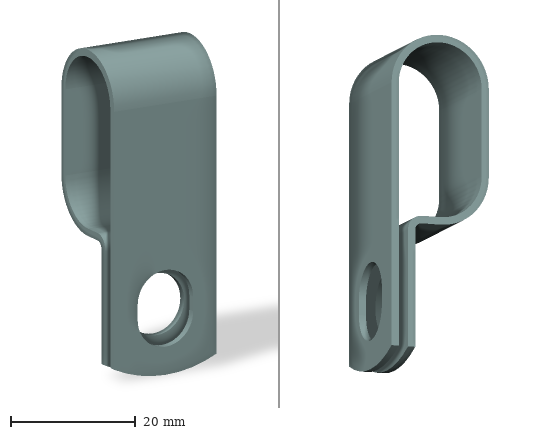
import cadquery as cq

height = 53.55
loop_width = 16.7
strip_width = 19.05
thickness = 1.25
leg_gap = 1.6
upper_arc_to_lower_arc = 14.35
bend_inner_radius = 1.1
hole_diameter = 10.35
hole_height = 11.1
slot_length = 12.8
tip_rise = 2.2

outer_radius = loop_width / 2
inner_radius = outer_radius - thickness
upper_center_z = height - outer_radius
lower_center_z = upper_center_z - upper_arc_to_lower_arc
shelf_bottom_z = lower_center_z - outer_radius
shelf_top_z = shelf_bottom_z + thickness

short_leg_right = inner_radius - leg_gap
gap_middle_x = short_leg_right + leg_gap / 2
short_leg_left = short_leg_right - thickness
bend_outer_radius = bend_inner_radius + thickness
bend_center_x = short_leg_left - bend_inner_radius
bend_end_z = shelf_bottom_z - bend_inner_radius


def bent_strip():
    """Side profile of the bent strip, extruded across its width."""
    return (
        cq.Workplane("XZ")
        .moveTo(outer_radius, 0)
        .lineTo(outer_radius, upper_center_z)
        .radiusArc((-outer_radius, upper_center_z), -outer_radius)
        .lineTo(-outer_radius, lower_center_z)
        .radiusArc((0, shelf_bottom_z), -outer_radius)
        .lineTo(bend_center_x, shelf_bottom_z)
        .radiusArc((short_leg_left, bend_end_z), bend_inner_radius)
        .lineTo(short_leg_left, 0)
        .lineTo(short_leg_right, 0)
        .lineTo(short_leg_right, bend_end_z)
        .radiusArc((bend_center_x, shelf_top_z), -bend_outer_radius)
        .lineTo(0, shelf_top_z)
        .radiusArc((-inner_radius, lower_center_z), inner_radius)
        .lineTo(-inner_radius, upper_center_z)
        .radiusArc((inner_radius, upper_center_z), inner_radius)
        .lineTo(inner_radius, 0)
        .close()
        .extrude(strip_width / 2, both=True)
    )


def rounded_tip_envelope():
    """Full-height block whose lower end is a shallow arc across the strip width."""
    half_width = strip_width / 2
    return (
        cq.Workplane("YZ")
        .moveTo(-half_width, height)
        .lineTo(-half_width, tip_rise)
        .threePointArc((0, 0), (half_width, tip_rise))
        .lineTo(half_width, height)
        .close()
        .extrude(loop_width, both=True)
    )


def bolt_hole():
    """Round hole through the short leg, ending midway in the gap between the legs."""
    return (
        cq.Workplane("YZ", origin=(gap_middle_x, 0, hole_height))
        .circle(hole_diameter / 2)
        .extrude(-loop_width)
    )


def bolt_slot():
    """Upright slot through the long leg, as wide as the round hole."""
    return (
        cq.Workplane("YZ", origin=(gap_middle_x, 0, hole_height))
        .slot2D(slot_length, hole_diameter, angle=90)
        .extrude(loop_width)
    )


result = (
    bent_strip()
    .intersect(rounded_tip_envelope())
    .cut(bolt_hole())
    .cut(bolt_slot())
)